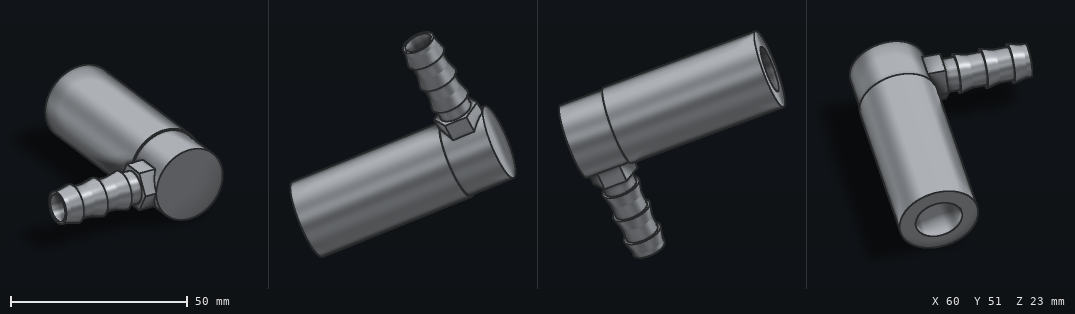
import cadquery as cq
import math

total_length = 60.0
total_width = 51.0
sleeve_length = 46.55
sleeve_radius = 23.0 / 2
collar_radius = 21.95 / 2

socket_radius = 13.55 / 2
passage_radius = 8.05 / 2

hex_sides = 6
hex_flats = 11.7
hex_corners = hex_flats / math.cos(math.pi / hex_sides)
hex_reach = 14.6
tail_x = 53.2

tail_reach = total_width - sleeve_radius
stem_radius = 9.6 / 2
barb_radius = 11.4 / 2
barb_length = 3.7
barb_pitch = 7.9
barb_count = 3
tip_length = 1.5


def cylinder_x(radius, start, end):
    """Cylinder on the main axis between two X positions."""
    return cq.Workplane("YZ").workplane(offset=start).circle(radius).extrude(end - start)


def tail_plane(reach):
    """Plane across the hose tail at a distance from the main axis, facing -Y."""
    return cq.Workplane("XZ", origin=(tail_x, -reach, 0))


def make_body():
    sleeve = cylinder_x(sleeve_radius, 0, sleeve_length)
    collar = cylinder_x(collar_radius, sleeve_length, total_length)
    return sleeve.union(collar)


def make_hex_base():
    return tail_plane(0).polygon(hex_sides, hex_corners).extrude(hex_reach)


def make_hose_tail():
    """Round stem with barbs that taper down towards the tip."""
    tail = tail_plane(0).circle(stem_radius).extrude(tail_reach)
    last_barb = tail_reach - tip_length - barb_length
    for index in range(barb_count):
        barb_start = last_barb - index * barb_pitch
        barb = (
            tail_plane(barb_start)
            .circle(barb_radius)
            .workplane(offset=barb_length)
            .circle(stem_radius)
            .loft(ruled=True)
        )
        tail = tail.union(barb)
    return tail


def make_passage():
    """Elbow passage of constant bore that turns at a mitred corner."""
    path = cq.Workplane("XY").lineTo(tail_x, 0).lineTo(tail_x, -tail_reach)
    return cq.Workplane("YZ").circle(passage_radius).sweep(path, transition="right")


socket = cylinder_x(socket_radius, 0, sleeve_length)
outside = make_body().union(make_hex_base()).union(make_hose_tail())
result = outside.cut(socket).cut(make_passage())